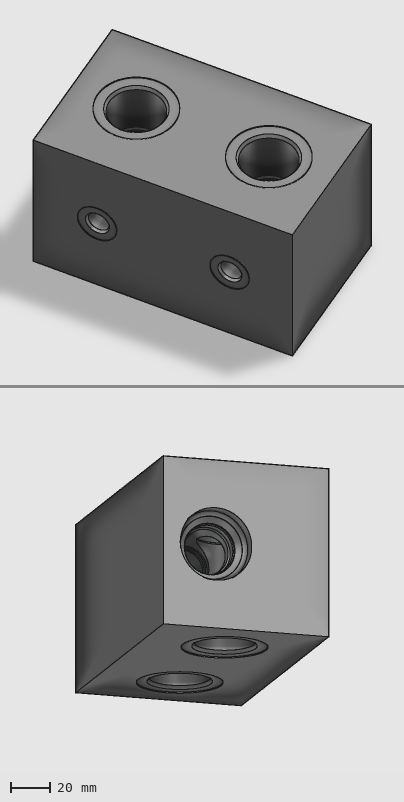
import cadquery as cq
import math

LENGTH = 149.2
WIDTH = 89.0
HEIGHT = 89.0
MID_Y = WIDTH / 2
MID_Z = HEIGHT / 2

PORT_STATIONS = (36.7, 113.0)

SPOTFACE_DEPTH = 0.6
SEAT_DEPTH = 1.8

MAIN_SPOTFACE_DIA = 44.5
MAIN_SEAT_DIA = 33.5
MAIN_THREAD_DIA = 31.0
MAIN_THREAD_DEPTH = 29.8
MAIN_DRILL_DIA = 29.0

GAUGE_SPOTFACE_DIA = 22.5
GAUGE_SEAT_DIA = 13.7
GAUGE_THREAD_DIA = 12.2
GAUGE_THREAD_DEPTH = 14.9
GAUGE_DRILL_DIA = 10.9

CAVITY_Y = WIDTH - 28.4
CAVITY_DRILL_DIA = 17.5
CAVITY_DRILL_DEPTH = 119.4
DRILL_POINT_ANGLE = 118.0
CAVITY_POINT_DEPTH = CAVITY_DRILL_DIA / 2 / math.tan(math.radians(DRILL_POINT_ANGLE / 2))

CAVITY_CORNERS = (
    (0, 38.3),
    (6.9, 38.3),
    (8.2, 33.4),
    (8.7, 33.4),
    (10.9, 27.2),
    (12.2, 27.2),
    (12.7, 26.0),
    (17.2, 26.0),
    (17.9, 24.2),
    (53.7, 24.2),
    (54.3, 23.0),
    (56.7, 23.0),
    (57.5, 21.8),
    (74.6, 21.8),
    (74.6, CAVITY_DRILL_DIA),
    (CAVITY_DRILL_DEPTH, CAVITY_DRILL_DIA),
    (CAVITY_DRILL_DEPTH + CAVITY_POINT_DEPTH, 0),
)


def stepped_bore(corners, mouth, inward, across):
    """Solid of revolution through (depth, diameter) corners, running inward from the mouth centre."""
    inward = cq.Vector(*inward)
    across = cq.Vector(*across)
    profile_plane = cq.Plane(origin=mouth, xDir=across, normal=across.cross(inward))
    outline = [(0, 0)] + [(diameter / 2, depth) for depth, diameter in corners]
    return cq.Workplane(profile_plane).polyline(outline).close().revolve(360, (0, 0), (0, 1))


def port_corners(spotface_dia, seat_dia, thread_dia, thread_depth, drill_dia, drill_depth):
    """Corners of a flat-ended port: spotface, tapered seat, thread bore and smaller drill."""
    thread_end_taper = (thread_dia - drill_dia) / 2
    return (
        (0, spotface_dia),
        (SPOTFACE_DEPTH, spotface_dia),
        (SPOTFACE_DEPTH, seat_dia),
        (SPOTFACE_DEPTH + SEAT_DEPTH, thread_dia),
        (thread_depth, thread_dia),
        (thread_depth + thread_end_taper, drill_dia),
        (drill_depth, drill_dia),
        (drill_depth, 0),
    )


main_port = port_corners(
    MAIN_SPOTFACE_DIA, MAIN_SEAT_DIA, MAIN_THREAD_DIA, MAIN_THREAD_DEPTH, MAIN_DRILL_DIA, MID_Z
)
gauge_port = port_corners(
    GAUGE_SPOTFACE_DIA, GAUGE_SEAT_DIA, GAUGE_THREAD_DIA, GAUGE_THREAD_DEPTH, GAUGE_DRILL_DIA, MID_Y
)

result = cq.Workplane("XY").box(LENGTH, WIDTH, HEIGHT, centered=False)

for station in PORT_STATIONS:
    result = result.cut(stepped_bore(main_port, (station, MID_Y, HEIGHT), (0, 0, -1), (1, 0, 0)))
    result = result.cut(stepped_bore(main_port, (station, MID_Y, 0), (0, 0, 1), (1, 0, 0)))
    result = result.cut(stepped_bore(gauge_port, (station, 0, MID_Z), (0, 1, 0), (1, 0, 0)))

result = result.cut(stepped_bore(CAVITY_CORNERS, (0, CAVITY_Y, MID_Z), (1, 0, 0), (0, 1, 0)))